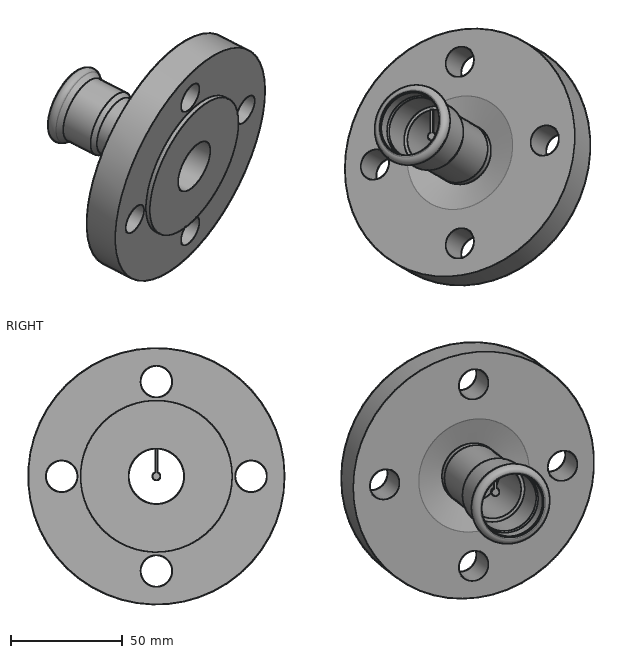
import cadquery as cq
import math

BEAD_END = 7.9
SOCKET_END = 23.0
STEP_END = 25.3
FLANGE_FRONT = 51.0
FLANGE_BACK = 66.8
TOTAL_LENGTH = 69.0

PIPE_RADIUS = 28.0 / 2
SOCKET_RADIUS = 31.3 / 2
WALL = 1.6
PIPE_BORE = PIPE_RADIUS - WALL
SOCKET_BORE = SOCKET_RADIUS - WALL
BEAD_ROUND = 3.0
BEAD_CENTER_RADIUS = 15.5
BEAD_TANGENT_ANGLE = 48.0
MOUTH_BORE = 14.5
MOUTH_ANGLE = -103.0
MOUTH_CHAMFER_LENGTH = 0.9
MOUTH_BORE_END = 6.7

FLANGE_RADIUS = 57.5
RAISED_FACE_RADIUS = 68.0 / 2
RECESS_RADIUS = 26.3
RECESS_DEPTH = 3.3
BOLT_HOLES = 4
BOLT_HOLE_DIAMETER = 14.0
BOLT_CIRCLE_RADIUS = 42.4

TAB_DISC_RADIUS = 1.8
TAB_STEM_WIDTH = 1.2
TAB_THICKNESS = 1.2
TAB_RISE = 0.6
TAB_OVERLAP = 0.2

RECESS_FLOOR = FLANGE_FRONT + RECESS_DEPTH
SEAM = FLANGE_FRONT


def revolve_about_x(profile):
    return profile.close().revolve(360, (0, 0, 0), (1, 0, 0))


def bead_point(angle):
    """Point on the bead circle; 0 degrees is radially outward, positive toward the flange."""
    a = math.radians(angle)
    return (BEAD_ROUND + BEAD_ROUND * math.sin(a), BEAD_CENTER_RADIUS + BEAD_ROUND * math.cos(a))


def make_press_pipe():
    """Pipe with a rounded bead, a widened socket, an inner stop shoulder and a tab on it."""
    profile = (
        cq.Workplane("XY")
        .moveTo(MOUTH_CHAMFER_LENGTH, MOUTH_BORE)
        .lineTo(*bead_point(MOUTH_ANGLE))
        .threePointArc(bead_point((MOUTH_ANGLE - 90) / 2), bead_point(-90))
        .threePointArc(bead_point(0), bead_point(BEAD_TANGENT_ANGLE))
        .lineTo(BEAD_END, SOCKET_RADIUS)
        .lineTo(SOCKET_END, SOCKET_RADIUS)
        .lineTo(STEP_END, PIPE_RADIUS)
        .lineTo(SEAM, PIPE_RADIUS)
        .lineTo(SEAM, PIPE_BORE)
        .lineTo(SOCKET_END, PIPE_BORE)
        .lineTo(SOCKET_END, SOCKET_BORE)
        .lineTo(BEAD_END, SOCKET_BORE)
        .lineTo(MOUTH_BORE_END, MOUTH_BORE)
    )
    return revolve_about_x(profile).union(make_tab())


def make_flange():
    """Flange with a raised face and a conical recess around a neck that meets the pipe."""
    profile = (
        cq.Workplane("XY")
        .moveTo(SEAM, PIPE_BORE)
        .lineTo(SEAM, PIPE_RADIUS)
        .lineTo(RECESS_FLOOR, PIPE_RADIUS)
        .lineTo(FLANGE_FRONT, RECESS_RADIUS)
        .lineTo(FLANGE_FRONT, FLANGE_RADIUS)
        .lineTo(FLANGE_BACK, FLANGE_RADIUS)
        .lineTo(FLANGE_BACK, RAISED_FACE_RADIUS)
        .lineTo(TOTAL_LENGTH, RAISED_FACE_RADIUS)
        .lineTo(TOTAL_LENGTH, PIPE_BORE)
    )
    bolt_holes = (
        cq.Workplane("YZ", origin=(FLANGE_FRONT, 0, 0))
        .polarArray(BOLT_CIRCLE_RADIUS, 0, 360, BOLT_HOLES)
        .circle(BOLT_HOLE_DIAMETER / 2)
        .extrude(FLANGE_BACK - FLANGE_FRONT)
    )
    return revolve_about_x(profile).cut(bolt_holes)


def make_tab():
    """Disc on the axis, carried by a thin stem from the top of the stop shoulder."""
    plane = cq.Workplane("YZ", origin=(SOCKET_END - TAB_RISE, 0, 0))
    disc = plane.circle(TAB_DISC_RADIUS).extrude(TAB_THICKNESS)
    stem_length = PIPE_BORE + TAB_OVERLAP
    stem = (
        plane.center(0, stem_length / 2)
        .rect(TAB_STEM_WIDTH, stem_length)
        .extrude(TAB_THICKNESS)
    )
    return disc.union(stem)


press_pipe = make_press_pipe()
flange = make_flange()

result = cq.Compound.makeCompound([press_pipe.solids().val(), flange.solids().val()])